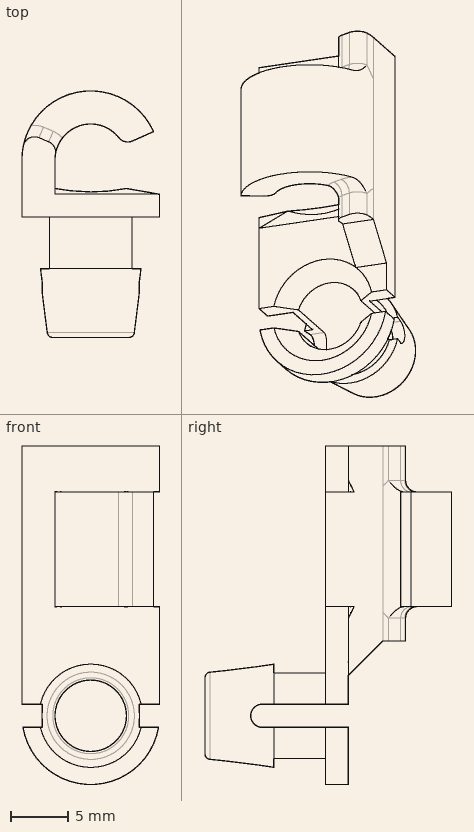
import cadquery as cq
import math

width = 12.0
half_width = width / 2
plate_thickness = 2.0
top_z = 23.5

window_bottom_z = 9.5
window_top_z = 19.5

hook_centre_y = 5.0
hook_outer_radius = half_width
hook_inner_radius = 3.1
tip_angle = 24.0
stub_end_angle = 157.0
corner_radius = 1.0
flare_radius = 1.0

arm_bottom_z = 3.5
stub_bottom_z = arm_bottom_z + hook_centre_y - plate_thickness

pad_height = 0.5
pad_dip_height = 0.2
pad_length = 1.0

bore_radius = 3.1
bore_chamfer = 1.6
shaft_radius = 3.75
collar_start_y = -4.5
collar_start_radius = 4.5
collar_end_radius = 3.75
stud_end_y = -10.5
collar_rounding = 0.5

slot_height = 2.0
slot_end_y = -6.5


def polar(radius, angle):
    """Point at an angle (degrees from +X) around the hook centre."""
    turn = math.radians(angle)
    return radius * math.cos(turn), hook_centre_y + radius * math.sin(turn)


def box(x_range, y_range, z_range):
    """Axis-aligned box between pairs of limits."""
    corner = [limits[0] for limits in (x_range, y_range, z_range)]
    size = [limits[1] - limits[0] for limits in (x_range, y_range, z_range)]
    return cq.Workplane("XY").box(*size, centered=False).translate(tuple(corner))


def curved_arm(bottom_z, height, end_angle, rounded_radii):
    """Straight leg followed by an arc up to end_angle, with end corners rounded at the given radii."""
    middle_angle = (180 + end_angle) / 2
    arm = (
        cq.Workplane("XY", origin=(0, 0, bottom_z))
        .moveTo(-half_width, 0)
        .lineTo(-hook_inner_radius, 0)
        .lineTo(-hook_inner_radius, hook_centre_y)
        .threePointArc(polar(hook_inner_radius, middle_angle), polar(hook_inner_radius, end_angle))
        .lineTo(*polar(hook_outer_radius, end_angle))
        .threePointArc(polar(hook_outer_radius, middle_angle), (-half_width, hook_centre_y))
        .close()
        .extrude(height)
    )
    for radius in rounded_radii:
        corner = (*polar(radius, end_angle), bottom_z + height / 2)
        arm = arm.edges(cq.NearestToPointSelector(corner)).fillet(corner_radius)
    return arm


def make_hook():
    return curved_arm(window_bottom_z, window_top_z - window_bottom_z, tip_angle, [hook_inner_radius])


def make_stub():
    """Side arm that carries the hook, ending shortly after the start of the arc."""
    end_radii = [hook_inner_radius, hook_outer_radius]
    return curved_arm(stub_bottom_z, top_z - stub_bottom_z, stub_end_angle, end_radii)


def make_arm_foot():
    """Lower end of the side arm, sloping down to the back of the plate."""
    return (
        cq.Workplane("YZ", origin=(-half_width, 0, 0))
        .moveTo(0, arm_bottom_z)
        .lineTo(plate_thickness, arm_bottom_z)
        .lineTo(hook_centre_y, stub_bottom_z)
        .lineTo(0, stub_bottom_z)
        .close()
        .extrude(half_width - hook_inner_radius)
    )


def make_flare(base_z, direction):
    """Concave fillet where the rounded stub end meets an end face of the hook.

    It stands on the hook face at base_z and rises along Z by the sign of direction.
    """
    foot_radius = corner_radius + flare_radius
    rise = direction * flare_radius
    bend = flare_radius * (1 - math.sqrt(0.5))

    def profile(plane):
        return (
            cq.Workplane(plane)
            .lineTo(foot_radius, 0)
            .threePointArc((corner_radius + bend, direction * bend), (corner_radius, rise))
            .lineTo(0, rise)
            .close()
        )

    centres = []
    for distance in (hook_outer_radius - corner_radius, hook_inner_radius + corner_radius):
        setback = math.degrees(math.asin(corner_radius / distance))
        centres.append(polar(distance, stub_end_angle + setback))
    outer, inner = centres

    along_end = cq.Vector(inner[0] - outer[0], inner[1] - outer[1], 0)
    away_from_end = cq.Vector(-along_end.y, along_end.x, 0)
    end_plane = cq.Plane(origin=(*outer, base_z), xDir=away_from_end, normal=along_end)
    flare = profile(end_plane).extrude(along_end.Length)
    for centre in centres:
        post_plane = cq.Plane(origin=(*centre, base_z), xDir=(1, 0, 0), normal=(0, -1, 0))
        flare = flare.union(profile(post_plane).revolve(360, (0, 0, 0), (0, 1, 0)))
    return flare.intersect(curved_arm(base_z, rise, tip_angle, []))


def make_pad(base_z, direction):
    """Pad starting at the window edge base_z, dished across X and tapering to the plate along Z."""
    end_z = base_z + direction * pad_length
    left = -hook_inner_radius
    peak = hook_inner_radius
    crest_y = plate_thickness + pad_height
    dished = (
        cq.Workplane("XY", origin=(0, 0, base_z))
        .moveTo(left, 0)
        .lineTo(left, crest_y)
        .threePointArc((0, plate_thickness + pad_dip_height), (peak, crest_y))
        .lineTo(half_width, plate_thickness)
        .lineTo(half_width, 0)
        .close()
        .extrude(direction * pad_length)
    )
    taper = (
        cq.Workplane("YZ", origin=(-half_width, 0, 0))
        .moveTo(0, base_z)
        .lineTo(crest_y, base_z)
        .lineTo(plate_thickness, end_z)
        .lineTo(0, end_z)
        .close()
        .extrude(width)
    )
    return dished.intersect(taper)


def make_plate():
    """Plate with a round foot about the stud axis and a side window."""
    plate = box((-half_width, half_width), (0, plate_thickness), (0, top_z))
    foot = cq.Workplane("XZ").circle(half_width).extrude(-plate_thickness)
    window = box(
        (-hook_inner_radius, half_width), (0, plate_thickness), (window_bottom_z, window_top_z)
    )
    return plate.union(foot).cut(window)


def make_stud():
    """Shaft with a tapered collar, rounded at its free end."""
    shaft = cq.Workplane("XZ").circle(shaft_radius).extrude(-collar_start_y)
    collar = (
        cq.Workplane("XY")
        .moveTo(0, collar_start_y)
        .lineTo(collar_start_radius, collar_start_y)
        .lineTo(collar_end_radius, stud_end_y)
        .lineTo(0, stud_end_y)
        .close()
        .revolve(360, (0, 0, 0), (0, 1, 0))
        .faces("<Y")
        .edges()
        .fillet(collar_rounding)
    )
    return shaft.union(collar)


def make_bore():
    """Bore through plate and stud, with a 45 degree countersink at the back of the plate."""
    return (
        cq.Workplane("XY")
        .moveTo(0, stud_end_y)
        .lineTo(bore_radius, stud_end_y)
        .lineTo(bore_radius, plate_thickness - bore_chamfer)
        .lineTo(bore_radius + bore_chamfer, plate_thickness)
        .lineTo(0, plate_thickness)
        .close()
        .revolve(360, (0, 0, 0), (0, 1, 0))
    )


def make_slot():
    """Slot across the full width, open at the back and round at its inner end."""
    half_height = slot_height / 2
    straight_end_y = slot_end_y + half_height
    return (
        cq.Workplane("YZ", origin=(-half_width, 0, 0))
        .moveTo(plate_thickness, half_height)
        .lineTo(straight_end_y, half_height)
        .threePointArc((slot_end_y, 0), (straight_end_y, -half_height))
        .lineTo(plate_thickness, -half_height)
        .close()
        .extrude(width)
    )


window_edges = ((window_bottom_z, -1), (window_top_z, 1))

hook_arm = make_hook()
for edge_z, direction in window_edges:
    hook_arm = hook_arm.union(make_flare(edge_z, direction))
hook_arm = hook_arm.union(make_stub())

result = make_plate().union(make_stud()).union(make_arm_foot())
for edge_z, direction in window_edges:
    result = result.union(make_pad(edge_z, direction))
result = result.union(hook_arm)
result = result.cut(make_bore()).cut(make_slot())